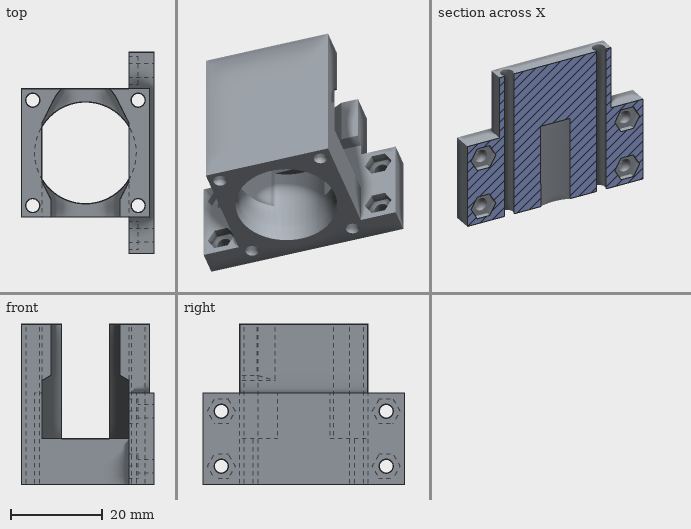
import cadquery as cq
import math

BODY_SIDE = 28.0
BODY_HEIGHT = 35.0
FLOOR_HEIGHT = 10.0

FLANGE_LENGTH = 44.0
FLANGE_HEIGHT = 20.0
FLANGE_OVERHANG = 1.0

CHANNEL_WIDTH = 19.0
TAPER_SLOPE = 2.0
BORE_DIAMETER = 22.2
BORE_HEIGHT = FLANGE_HEIGHT

MOUTH_WIDTH = 15.0
MOUTH_STRAIGHT = 3.75
LIP_BASE_HEIGHT = 22.7
LIP_ANGLE = 30.0

REAR_TAPER_START = 6.5
REAR_TAPER_WIDTH = 13.8
REAR_EXIT_WIDTH = 10.4

HOLE_DIAMETER = 3.0
CORNER_HOLE_PITCH = 23.0
FLANGE_HOLE_PITCH = 36.0
FLANGE_HOLE_HEIGHTS = (4.0, 16.0)
NUT_CORNER_DIAMETER = 6.1
NUT_DEPTH = 2.0

half_body = BODY_SIDE / 2
half_channel = CHANNEL_WIDTH / 2
half_mouth = MOUTH_WIDTH / 2
mouth_taper_start = -half_body + MOUTH_STRAIGHT
mouth_taper_end = mouth_taper_start + TAPER_SLOPE * (half_channel - half_mouth)
rear_taper_end = REAR_TAPER_START + TAPER_SLOPE * (half_channel - REAR_TAPER_WIDTH / 2)
flange_inner = half_channel
flange_outer = half_body + FLANGE_OVERHANG


def make_block():
    """Square block joined to the flat mounting flange."""
    block = cq.Workplane("XY").box(BODY_SIDE, BODY_SIDE, BODY_HEIGHT, centered=(True, True, False))
    flange = (
        cq.Workplane("XY")
        .box(flange_outer - flange_inner, FLANGE_LENGTH, FLANGE_HEIGHT, centered=(False, True, False))
        .translate((flange_inner, 0, 0))
    )
    return block.union(flange)


def make_channel():
    """Channel open at the top, with straight front walls and a narrowing rear."""
    right_half = (
        cq.Workplane("XY", origin=(0, 0, FLOOR_HEIGHT))
        .moveTo(0, -half_body)
        .lineTo(half_channel, -half_body)
        .lineTo(half_channel, REAR_TAPER_START)
        .lineTo(REAR_TAPER_WIDTH / 2, rear_taper_end)
        .tangentArcPoint((REAR_EXIT_WIDTH / 2, half_body), relative=False)
        .lineTo(0, half_body)
        .close()
        .extrude(BODY_HEIGHT - FLOOR_HEIGHT)
    )
    return right_half.union(right_half.mirror("YZ"))


def make_lip(side):
    """Front lip that narrows the upper channel mouth, with a sloping underside."""
    lip_rise = (half_channel - half_mouth) * math.tan(math.radians(LIP_ANGLE))
    plan = (
        cq.Workplane("XY")
        .polyline([
            (side * half_channel, -half_body),
            (side * half_mouth, -half_body),
            (side * half_mouth, mouth_taper_start),
            (side * half_channel, mouth_taper_end),
        ])
        .close()
        .extrude(BODY_HEIGHT)
    )
    elevation = (
        cq.Workplane("XZ")
        .polyline([
            (side * half_channel, LIP_BASE_HEIGHT),
            (side * half_mouth, LIP_BASE_HEIGHT + lip_rise),
            (side * half_mouth, BODY_HEIGHT),
            (side * half_channel, BODY_HEIGHT),
        ])
        .close()
        .extrude(half_body)
    )
    return plan.intersect(elevation)


def make_bore():
    """Round opening through the floor and the lower channel walls."""
    return cq.Workplane("XY").circle(BORE_DIAMETER / 2).extrude(BORE_HEIGHT)


def make_corner_holes():
    """Four vertical screw holes through the block."""
    return (
        cq.Workplane("XY")
        .rect(CORNER_HOLE_PITCH, CORNER_HOLE_PITCH, forConstruction=True)
        .vertices()
        .circle(HOLE_DIAMETER / 2)
        .extrude(BODY_HEIGHT)
    )


def make_flange_fastener(y, z):
    """Screw hole along X with a hexagonal nut pocket in the inner flange face."""
    face = cq.Workplane("YZ", origin=(flange_inner, y, z))
    hole = face.circle(HOLE_DIAMETER / 2).extrude(flange_outer - flange_inner)
    nut = face.polygon(6, NUT_CORNER_DIAMETER).extrude(NUT_DEPTH)
    return hole.union(nut)


result = make_block().cut(make_channel())
for side in (-1, 1):
    result = result.union(make_lip(side))
result = result.cut(make_bore()).cut(make_corner_holes())
for y in (-FLANGE_HOLE_PITCH / 2, FLANGE_HOLE_PITCH / 2):
    for z in FLANGE_HOLE_HEIGHTS:
        result = result.cut(make_flange_fastener(y, z))